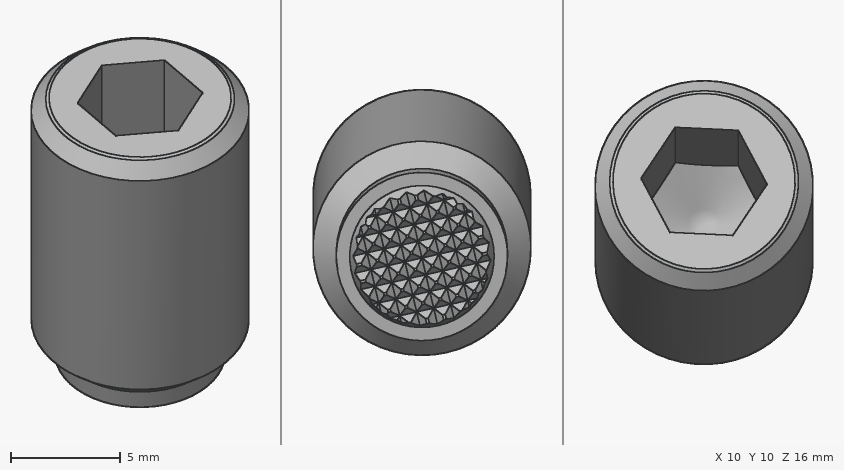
import cadquery as cq
import math

length = 16.0
body_diameter = 10.0
body_radius = body_diameter / 2

top_chamfer = 0.67
top_rim_radius = body_radius - top_chamfer
top_face_radius = 4.18
top_cone_height = 0.06

bottom_chamfer = 1.07
neck_radius = body_radius - bottom_chamfer
neck_end_z = 0.69
neck_top_z = 1.62

socket_across_flats = 5.0
socket_corner_radius = socket_across_flats / math.sqrt(3)
socket_depth = 6.0
drill_point_angle = 120.0

pad_root_radius = 3.31
pad_tip_radius = 3.0
tooth_pitch = 0.8
tooth_tip_width = 0.13
groove_half_width = (tooth_pitch - tooth_tip_width) / 2
groove_depth = groove_half_width
grooves_each_side = 3


def make_screw():
    """Chamfered cylinder with a stepped-down neck and a hexagon socket."""
    profile = [
        (0, neck_end_z),
        (neck_radius, neck_end_z),
        (neck_radius, neck_top_z),
        (body_radius, neck_top_z + bottom_chamfer),
        (body_radius, length - top_cone_height - top_chamfer),
        (top_rim_radius, length - top_cone_height),
        (top_face_radius, length),
        (0, length),
    ]
    blank = cq.Workplane("XZ").polyline(profile).close().revolve(360, (0, 0), (0, 1))
    return blank.cut(make_socket())


def make_socket():
    """Hexagonal prism, corners on the X axis, ending in a cone through its corners."""
    bottom_z = length - socket_depth
    point_depth = socket_corner_radius / math.tan(math.radians(drill_point_angle / 2))
    prism = (
        cq.Workplane("XY", origin=(0, 0, bottom_z - point_depth))
        .polygon(6, 2 * socket_corner_radius)
        .extrude(socket_depth + point_depth)
    )
    envelope = (
        cq.Workplane("XZ")
        .polyline([
            (0, bottom_z - point_depth),
            (socket_corner_radius, bottom_z),
            (socket_corner_radius, length),
            (0, length),
        ])
        .close()
        .revolve(360, (0, 0), (0, 1))
    )
    return prism.intersect(envelope)


def make_groove(offset):
    """V-groove along Y, open at the bottom of the pad, centred at X = offset."""
    return (
        cq.Workplane("XZ")
        .polyline([
            (offset - groove_half_width, 0),
            (offset, groove_depth),
            (offset + groove_half_width, 0),
        ])
        .close()
        .extrude(pad_root_radius, both=True)
    )


def make_pad():
    """Tapered disc whose lower face is cut into blunt pyramid teeth by crossed grooves."""
    profile = [
        (0, 0),
        (pad_tip_radius, 0),
        (pad_root_radius, neck_end_z),
        (0, neck_end_z),
    ]
    pad = cq.Workplane("XZ").polyline(profile).close().revolve(360, (0, 0), (0, 1))
    for step in range(-grooves_each_side, grooves_each_side + 1):
        groove = make_groove(step * tooth_pitch)
        pad = pad.cut(groove)
        pad = pad.cut(groove.rotate((0, 0, 0), (0, 0, 1), 90))
    return pad


screw = make_screw()
pad = make_pad()

result = cq.Compound.makeCompound([screw.val(), pad.val()])